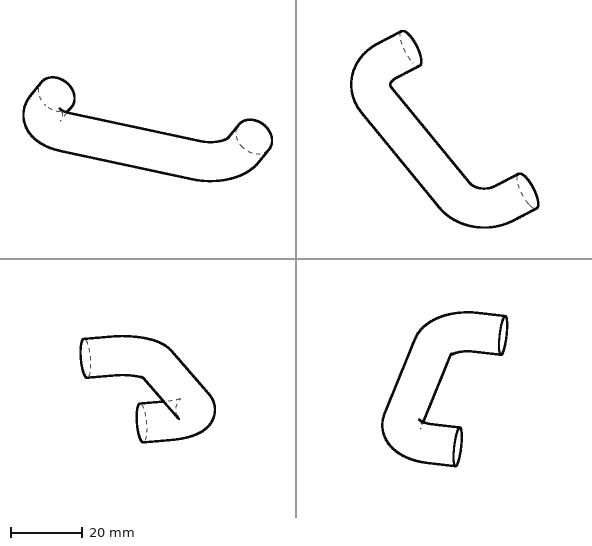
import cadquery as cq
import math

overall_length = 71.0
overall_depth = 23.5
rod_diameter = 11.0
leg_length = 8.0

rod_radius = rod_diameter / 2
leg_x = overall_length / 2 - rod_radius
leg_end_y = overall_depth / 2
grip_y = rod_radius - overall_depth / 2
bend_centre_y = leg_end_y - leg_length
bend_radius = bend_centre_y - grip_y
bend_centre_x = leg_x - bend_radius
bend_mid_offset = bend_radius * math.sin(math.radians(45))


def make_centreline():
    """U-shaped path: left leg, left bend, grip along X, right bend, right leg."""
    bend_mid_x = bend_centre_x + bend_mid_offset
    bend_mid_y = bend_centre_y - bend_mid_offset
    return (
        cq.Workplane("XY")
        .moveTo(-leg_x, leg_end_y)
        .lineTo(-leg_x, bend_centre_y)
        .threePointArc((-bend_mid_x, bend_mid_y), (-bend_centre_x, grip_y))
        .lineTo(bend_centre_x, grip_y)
        .threePointArc((bend_mid_x, bend_mid_y), (leg_x, bend_centre_y))
        .lineTo(leg_x, leg_end_y)
    )


def make_handle():
    """Round bar bent into a U, swept from the end face of the left leg."""
    leg_end = cq.Workplane("XZ", origin=(-leg_x, leg_end_y, 0))
    return leg_end.circle(rod_radius).sweep(make_centreline())


handle = make_handle()

result = cq.Compound.makeCompound([handle.val()])